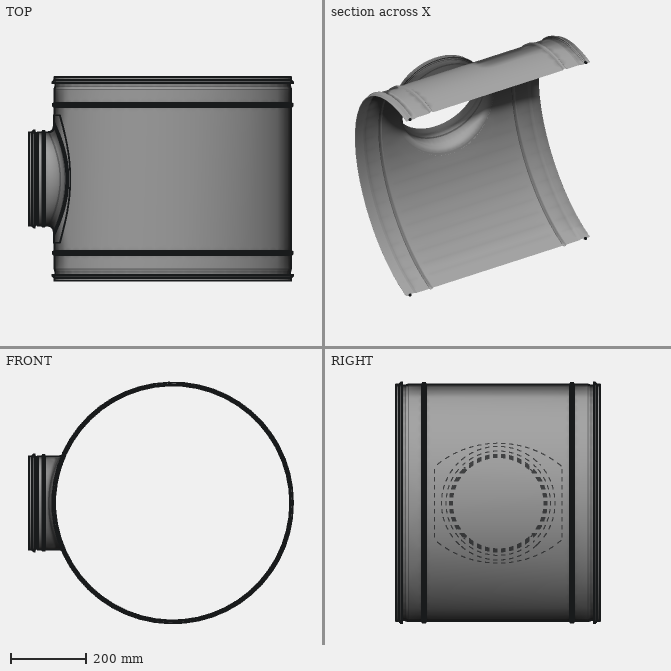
import cadquery as cq


tube_length = 541.0
tube_diameter = 629.0
branch_diameter = 249.0
branch_reach = 381.0
sheet = 0.5

neck_in = 2.45
hem_length = 7.0
bead_crest_ratio = 0.5
tube_cone_start = 24.5
tube_cone_end = 33.0
tube_bead_center = 74.0
tube_bead_width = 11.0
tube_bead_height = 4.0
branch_cone_start = 21.0
branch_cone_end = 25.0
branch_bead_center = 39.0
branch_bead_width = 8.0
branch_bead_height = 3.0

lip_height = 5.25
lip_root = 8.5
lip_tip = 16.0
lip_tip_width = 2.0
gasket_end = 17.0

plate_thickness = 0.35
plate_half_width = 169.0
plate_half_height = 159.0
plate_corner_height = 97.5
flange_diameter = 301.5
flange_height = 1.5
flare_radius = 14.0

tube_radius = tube_diameter / 2
branch_radius = branch_diameter / 2
bead_foot_height = branch_bead_center + branch_bead_width / 2
seam_distance = branch_reach - bead_foot_height
flare_foot_radius = branch_radius + flare_radius


def hem_bend(radius):
    """Center radius of the rounded hem fold and the outer radius of its bend."""
    outer = (neck_in + sheet) / 2
    return radius - outer, outer


def spigot_wire(radius, cone_start, cone_end, bead_center, bead_width, bead_height):
    """Open outline in the XZ plane of a wall from behind its bead, around its hemmed end at Z = 0."""
    inner_radius = radius - sheet
    seat_radius = radius - neck_in
    bend_center, bend_outer = hem_bend(radius)
    bend_inner = bend_outer - sheet
    foot = bead_width / 2
    crest = foot * bead_crest_ratio
    inner_foot = foot - sheet
    inner_crest = crest - sheet
    return (
        cq.Workplane("XZ")
        .moveTo(radius, bead_center + foot)
        .lineTo(radius + bead_height, bead_center + crest)
        .lineTo(radius + bead_height, bead_center - crest)
        .lineTo(radius, bead_center - foot)
        .lineTo(radius, cone_end)
        .lineTo(seat_radius, cone_start)
        .lineTo(seat_radius, bend_outer)
        .threePointArc((bend_center, bend_outer - bend_inner), (inner_radius, bend_outer))
        .lineTo(inner_radius, hem_length)
        .lineTo(radius, hem_length)
        .lineTo(radius, bend_outer)
        .threePointArc((bend_center, 0), (seat_radius - sheet, bend_outer))
        .lineTo(seat_radius - sheet, cone_start)
        .lineTo(inner_radius, cone_end)
        .lineTo(inner_radius, bead_center - inner_foot)
        .lineTo(inner_radius + bead_height, bead_center - inner_crest)
        .lineTo(inner_radius + bead_height, bead_center + inner_crest)
        .lineTo(inner_radius, bead_center + inner_foot)
        .wire()
        .val()
    )


def revolve_edges(edges):
    """Revolve a closed outline fully around Z."""
    outline = cq.Wire.combine(edges)[0]
    return cq.Workplane(
        cq.Solid.revolve(outline, [], 360, cq.Vector(0, 0, 0), cq.Vector(0, 0, 1))
    )


def gasket(radius):
    """Rubber ring around Z that fills the hem of a spigot and ends in a slanted lip."""
    seat_radius = radius - neck_in
    inner_radius = radius - sheet
    bend_center, bend_outer = hem_bend(radius)
    tip_radius = radius + lip_height
    lip_base = lip_tip - lip_tip_width
    section = (
        cq.Workplane("XZ")
        .moveTo(seat_radius, bend_outer)
        .threePointArc((bend_center, sheet), (inner_radius, bend_outer))
        .lineTo(inner_radius, hem_length)
        .lineTo(radius, hem_length)
        .lineTo(radius, lip_root)
        .lineTo(tip_radius, lip_base)
        .lineTo(tip_radius, lip_tip)
        .lineTo(inner_radius, lip_base)
        .lineTo(inner_radius, gasket_end)
        .lineTo(seat_radius, gasket_end)
        .close()
    )
    return section.revolve(360, (0, 0, 0), (0, 1, 0))


def at_tube_front(body):
    """Move a body from the Z axis to the -Y end of the tube."""
    return body.rotate((0, 0, 0), (1, 0, 0), -90).translate((0, -tube_length / 2, 0))


def at_branch_end(body):
    """Move a body from the Z axis to the open end of the branch."""
    turned = body.rotate((0, 0, 0), (0, 0, 1), 90)
    return turned.rotate((0, 0, 0), (0, 1, 0), 90).translate((-branch_reach, 0, 0))


def tube_cylinder(radius):
    return cq.Workplane("XZ").circle(radius).extrude(tube_length / 2, both=True)


def branch_cylinder(radius, reach):
    """Solid cylinder along -X from the tube axis."""
    return cq.Workplane("YZ").circle(radius).extrude(-reach)


def flared_neck(core_radius, neck_radius):
    """Solid tube core with a solid neck whose root is rounded by the flare."""
    near_seam = cq.selectors.BoxSelector(
        (-core_radius - sheet, -flare_foot_radius, -flare_foot_radius),
        (-core_radius / 2, flare_foot_radius, flare_foot_radius),
    )
    half_core = tube_cylinder(core_radius).intersect(
        cq.Workplane("XY").box(2 * core_radius, tube_length, 2 * core_radius)
        .translate((-core_radius, 0, 0))
    )
    body = half_core.union(branch_cylinder(neck_radius, seam_distance))
    return body.edges(near_seam).fillet(flare_radius)


def saddle_plate():
    """Thin plate bent over the tube, with straight sides and arched upper and lower edges."""
    outline = (
        cq.Workplane("YZ")
        .moveTo(-plate_half_width, -plate_corner_height)
        .threePointArc((0, -plate_half_height), (plate_half_width, -plate_corner_height))
        .lineTo(plate_half_width, plate_corner_height)
        .threePointArc((0, plate_half_height), (-plate_half_width, plate_corner_height))
        .close()
        .extrude(-seam_distance)
    )
    return tube_cylinder(tube_radius + plate_thickness).intersect(outline)


def make_tube():
    near_end = spigot_wire(
        tube_radius,
        tube_cone_start,
        tube_cone_end,
        tube_bead_center,
        tube_bead_width,
        tube_bead_height,
    )
    far_end = near_end.mirror("XY", (0, 0, tube_length / 2))
    walls = [
        cq.Edge.makeLine(near_end.startPoint(), far_end.startPoint()),
        cq.Edge.makeLine(near_end.endPoint(), far_end.endPoint()),
    ]
    opening = branch_cylinder(flare_foot_radius, seam_distance)
    pipe = revolve_edges(near_end.Edges() + walls + far_end.Edges())
    return at_tube_front(pipe).cut(opening)


def make_saddle():
    collar = flared_neck(tube_radius + flange_height, branch_radius).intersect(
        branch_cylinder(flange_diameter / 2, seam_distance)
    )
    passage = flared_neck(tube_radius, branch_radius - sheet)
    open_end = spigot_wire(
        branch_radius,
        branch_cone_start,
        branch_cone_end,
        branch_bead_center,
        branch_bead_width,
        branch_bead_height,
    )
    inner_seam = cq.Vector(branch_radius - sheet, 0, bead_foot_height)
    walls = [
        cq.Edge.makeLine(open_end.startPoint(), inner_seam),
        cq.Edge.makeLine(inner_seam, open_end.endPoint()),
    ]
    end = at_branch_end(revolve_edges(open_end.Edges() + walls))
    return saddle_plate().union(collar).cut(passage).union(end)


tube = make_tube()
saddle = make_saddle()
front_gasket = at_tube_front(gasket(tube_radius))
tube_gaskets = [front_gasket, front_gasket.mirror("XZ")]
branch_gasket = at_branch_end(gasket(branch_radius))

result = cq.Compound.makeCompound(
    [tube.val(), saddle.val(), branch_gasket.val()] + [ring.val() for ring in tube_gaskets]
)